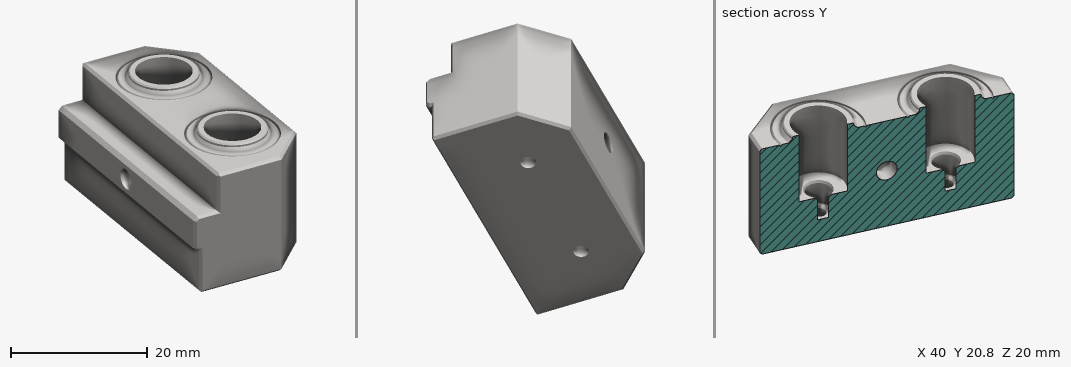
import cadquery as cq

length = 40.0
depth = 20.75
overall_height = 20.0
boss_height = 1.0
block_height = overall_height - boss_height
rail_center_height = 10.0
rail_height = 5.8
rail_bottom = rail_center_height - rail_height / 2
rail_top = rail_center_height + rail_height / 2
upper_setback = 4.0
lower_setback = 1.0
rear_corner = 6.0
edge_chamfer = 0.4
rail_chamfer = 0.6

cross_hole_diameter = 3.2

seat_spacing = 20.0
seat_rear_distance = 8.5
seat_y = depth - seat_rear_distance
pocket_mouth_diameter = 14.2
bushing_diameter = 14.0
bushing_top_diameter = 13.4
boss_foot_diameter = 11.45
boss_diameter = 10.45
boss_top_diameter = 10.05
boss_foot_height = (boss_foot_diameter - boss_diameter) / 2
boss_top_chamfer = (boss_diameter - boss_top_diameter) / 2
bushing_edge_drop = (bushing_diameter - bushing_top_diameter) / 2

bore_diameter = 8.45
bore_depth = 12.0
counterbore_mouth_diameter = 4.5
counterbore_diameter = 4.1
counterbore_taper_depth = 0.4
counterbore_depth = 4.0
outlet_diameter = 2.3
outlet_mouth_diameter = 2.8
outlet_mouth_depth = (outlet_mouth_diameter - outlet_diameter) / 2


def make_layer(front_y, bottom, top):
    """Flat layer with both rear corners cut off, starting at front_y."""
    plan_outline = [
        (0, front_y),
        (length, front_y),
        (length, depth - rear_corner),
        (length - rear_corner, depth),
        (rear_corner, depth),
        (0, depth - rear_corner),
    ]
    layer = cq.Workplane("XY").workplane(offset=bottom).polyline(plan_outline).close()
    return layer.extrude(top - bottom)


def make_stepped_prism():
    """Stepped side profile swept along X, with the rail and both ends chamfered."""
    side_outline = [
        (lower_setback, 0),
        (depth, 0),
        (depth, block_height),
        (upper_setback, block_height),
        (upper_setback, rail_top),
        (0, rail_top),
        (0, rail_bottom),
        (lower_setback, rail_bottom),
    ]
    prism = cq.Workplane("YZ").polyline(side_outline).close().extrude(length)
    prism = prism.faces("<Y").edges("|X").chamfer(rail_chamfer)
    return prism.faces("<X or >X").edges().chamfer(edge_chamfer)


def make_block():
    """Block with a front rail, cut rear corners and mitred edge chamfers."""
    lower_layer = make_layer(lower_setback, 0, rail_bottom).faces("<Z").chamfer(edge_chamfer)
    rail_layer = make_layer(0, rail_bottom, rail_top)
    upper_layer = make_layer(upper_setback, rail_top, block_height).faces(">Z").chamfer(edge_chamfer)
    layers = lower_layer.union(rail_layer).union(upper_layer)
    return layers.intersect(make_stepped_prism()).clean()


def revolve_profile(points):
    """Solid of revolution about Z from (diameter, z) points."""
    profile = [(diameter / 2, z) for diameter, z in points]
    bottom_z = points[0][1]
    top_z = points[-1][1]
    profile = [(0, bottom_z)] + profile + [(0, top_z)]
    return cq.Workplane("XZ").polyline(profile).close().revolve(360, (0, 0), (0, 1))


def make_boss():
    """Raised cylinder with a flared foot and a chamfered top edge."""
    return revolve_profile([
        (boss_foot_diameter, block_height),
        (boss_diameter, block_height + boss_foot_height),
        (boss_diameter, overall_height - boss_top_chamfer),
        (boss_top_diameter, overall_height),
    ])


def make_seat_groove():
    """Narrow V groove around the bushing."""
    groove_bottom = block_height - bushing_edge_drop
    pocket = revolve_profile([
        (bushing_diameter, groove_bottom),
        (pocket_mouth_diameter, block_height),
    ])
    bushing = revolve_profile([
        (bushing_diameter, groove_bottom),
        (bushing_top_diameter, block_height),
    ])
    return pocket.cut(bushing)


def make_passage():
    """Bore, counterbore and outlet as one stepped cutter."""
    bore_floor = overall_height - bore_depth
    counterbore_floor = bore_floor - counterbore_depth
    return revolve_profile([
        (outlet_diameter, 0),
        (outlet_diameter, counterbore_floor - outlet_mouth_depth),
        (outlet_mouth_diameter, counterbore_floor),
        (counterbore_diameter, counterbore_floor),
        (counterbore_diameter, bore_floor - counterbore_taper_depth),
        (counterbore_mouth_diameter, bore_floor),
        (bore_diameter, bore_floor),
        (bore_diameter, overall_height),
    ])


def make_cross_hole():
    """Round hole running through the whole depth along Y."""
    profile = cq.Workplane("XZ").center(length / 2, rail_center_height).circle(cross_hole_diameter / 2)
    return profile.extrude(-depth)


result = make_block().cut(make_cross_hole())
for seat_x in (length / 2 - seat_spacing / 2, length / 2 + seat_spacing / 2):
    seat_position = (seat_x, seat_y, 0)
    result = result.cut(make_seat_groove().translate(seat_position))
    result = result.union(make_boss().translate(seat_position))
    result = result.cut(make_passage().translate(seat_position))